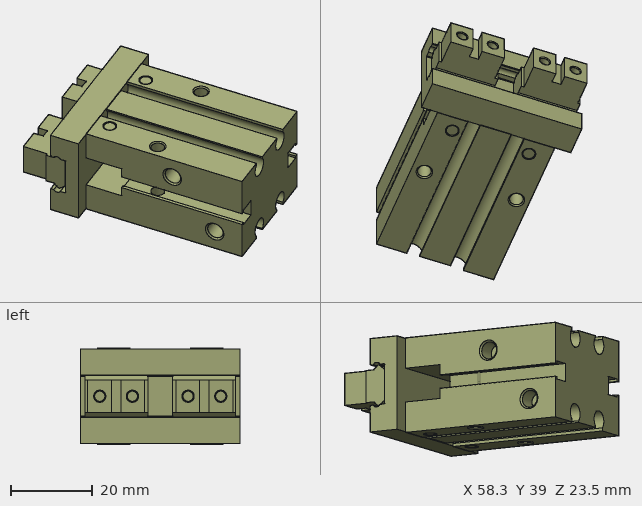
import cadquery as cq


total_length = 58.3

plate_front = 8.2
plate_back = 15.85
plate_width = 39.0
plate_height = 23.2

channel_half_height = 5.0
channel_back = 12.3
vee_center_x = 10.0
race_half_width = 0.9
race_depth = 0.5
channel_chamfer = 0.2

block_width = 30.6
block_height = 23.5
block_top = block_height / 2
block_side = block_width / 2

window_back = 25.55
window_height = 8.4

groove_y = 5.7
groove_mouth = 3.3
groove_radius = 2.35
groove_axis_depth = 2.4
land_drop = 0.35

slot_mouth = 3.3
slot_lip = 0.8
slot_undercut = 0.6
slot_depth = 4.95

mount_x = 33.75
mount_pitch = 24.0
mount_diameter = 3.4
mount_mouth = 4.0

pin_x = 19.7
pin_pitch = 20.0
pin_mouth = 3.4
pin_floor = 2.9
pin_recess_depth = 0.1

port_places = [(39.3, 6.55), (50.85, -6.55)]
port_mouth = 5.0
port_diameter = 4.2
port_depth = 5.0
orifice_diameter = 0.5
orifice_depth = 1.0

jaw_y = 10.8
jaw_width = 14.0
jaw_height = 8.0
jaw_back = 11.7
shoulder_x = 6.5
shoulder_inner_y = 3.05
shoulder_outer_y = 18.4
jaw_vee_half_base = 1.45
jaw_vee_half_tip = 0.2
jaw_vee_rise = 1.05
notch_width = 2.35
notch_depth = 2.55
jaw_hole_pitch = 8.0
jaw_hole_mouth = 3.0
jaw_hole_diameter = 2.5
jaw_hole_depth = 6.0


def box(x_start, x_end, y_start, y_end, z_start, z_end):
    """Axis-aligned box between two limits on each axis."""
    size = (x_end - x_start, y_end - y_start, z_end - z_start)
    return cq.Workplane("XY").box(*size, centered=False).translate((x_start, y_start, z_start))


def chamfered_hole(point, direction, mouth, diameter, depth):
    """Cutter for a round hole with a 45-degree chamfer at its mouth."""
    axis = cq.Vector(*direction)
    start = cq.Vector(*point)
    chamfer = (mouth - diameter) / 2
    bore = cq.Solid.makeCylinder(diameter / 2, depth, start, axis)
    cone = cq.Solid.makeCone(mouth / 2, diameter / 2, chamfer, start, axis)
    return cq.Workplane(bore).union(cq.Workplane(cone))


def guide_channel():
    """Channel across the plate: flared mouth, bevelled inner corners, arc race in both walls."""
    half = channel_half_height
    flared = half + channel_chamfer
    bevelled = half - channel_chamfer
    race_start = vee_center_x - race_half_width
    race_end = vee_center_x + race_half_width
    race_tip = half + race_depth
    profile = (
        cq.Workplane("XZ")
        .moveTo(plate_front, flared)
        .lineTo(plate_front + channel_chamfer, half)
        .lineTo(race_start, half)
        .threePointArc((vee_center_x, race_tip), (race_end, half))
        .lineTo(channel_back - channel_chamfer, half)
        .lineTo(channel_back, bevelled)
        .lineTo(channel_back, -bevelled)
        .lineTo(channel_back - channel_chamfer, -half)
        .lineTo(race_end, -half)
        .threePointArc((vee_center_x, -race_tip), (race_start, -half))
        .lineTo(plate_front + channel_chamfer, -half)
        .lineTo(plate_front, -flared)
        .close()
    )
    return profile.extrude(plate_width / 2, both=True)


def sensor_groove(y, side):
    """Round-bottomed groove with a narrower mouth, in the top (side=1) or bottom (side=-1)."""
    axis_z = block_top - groove_axis_depth
    mouth = box(plate_back, total_length, y - groove_mouth / 2, y + groove_mouth / 2, axis_z, block_top)
    bore = cq.Workplane("YZ", origin=(plate_back, y, axis_z)).circle(groove_radius)
    groove = mouth.union(bore.extrude(total_length - plate_back))
    return groove if side > 0 else groove.mirror("XY")


def land_relief(side):
    """Cut that sets the land between the grooves below the outer bands, top (side=1) or bottom (side=-1)."""
    relief = box(plate_back, total_length, -groove_y, groove_y, block_top - land_drop, block_top)
    return relief if side > 0 else relief.mirror("XY")


def side_slot(side):
    """T-slot along the +Y (side=1) or -Y (side=-1) face, open at the window and at the back."""
    mouth_half = slot_mouth / 2
    inner_half = mouth_half + slot_undercut
    lip_y = block_side - slot_lip
    floor_y = block_side - slot_depth
    mouth = box(plate_back, total_length, lip_y, block_side, -mouth_half, mouth_half)
    inner = box(plate_back, total_length, floor_y, lip_y, -inner_half, inner_half)
    slot = mouth.union(inner)
    return slot if side > 0 else slot.mirror("XZ")


def mount_hole(y, side):
    """Half of a vertical through hole, chamfered at the top (side=1) or bottom (side=-1) face."""
    start = (mount_x, y, side * block_top)
    return chamfered_hole(start, (0, 0, -side), mount_mouth, mount_diameter, block_top)


def pin_recess(y, side):
    """Shallow tapered recess in the top (side=1) or bottom (side=-1) face."""
    start = cq.Vector(pin_x, y, side * block_top)
    axis = cq.Vector(0, 0, -side)
    return cq.Workplane(cq.Solid.makeCone(pin_mouth / 2, pin_floor / 2, pin_recess_depth, start, axis))


def air_port(x, z):
    """Chamfered blind port in the -Y face, with a small orifice in its floor."""
    port = chamfered_hole((x, -block_side, z), (0, 1, 0), port_mouth, port_diameter, port_depth)
    floor = cq.Vector(x, port_depth - block_side, z)
    orifice = cq.Solid.makeCylinder(orifice_diameter / 2, orifice_depth, floor, cq.Vector(0, 1, 0))
    return port.union(cq.Workplane(orifice))


def make_housing():
    """Guide plate and main block as one solid, with all their cut-outs."""
    plate_y = plate_width / 2
    plate_z = plate_height / 2
    plate = box(plate_front, plate_back, -plate_y, plate_y, -plate_z, plate_z).cut(guide_channel())
    block = box(plate_back, total_length, -block_side, block_side, -block_top, block_top)

    window_z = window_height / 2
    block = block.cut(box(plate_back, window_back, -block_side, block_side, -window_z, window_z))

    for side in (1, -1):
        block = block.cut(side_slot(side))
        block = block.cut(land_relief(side))
        for half in (1, -1):
            block = block.cut(sensor_groove(half * groove_y, side))
            block = block.cut(mount_hole(half * mount_pitch / 2, side))
            block = block.cut(pin_recess(half * pin_pitch / 2, side))

    for x, z in port_places:
        block = block.cut(air_port(x, z))
    return plate.union(block).solids()


def make_jaw(side):
    """Jaw on the +Y (side=1) or -Y (side=-1) half of the guide channel."""
    jaw_z = jaw_height / 2
    jaw_inner_y = jaw_y - jaw_width / 2
    jaw_outer_y = jaw_y + jaw_width / 2
    finger = box(0, shoulder_x, jaw_inner_y, jaw_outer_y, -jaw_z, jaw_z)
    notch = box(0, notch_depth, jaw_y - notch_width / 2, jaw_y + notch_width / 2, -jaw_z, jaw_z)
    finger = finger.cut(notch)

    upper = [
        (shoulder_x, jaw_z),
        (vee_center_x - jaw_vee_half_base, jaw_z),
        (vee_center_x - jaw_vee_half_tip, jaw_z + jaw_vee_rise),
        (vee_center_x + jaw_vee_half_tip, jaw_z + jaw_vee_rise),
        (vee_center_x + jaw_vee_half_base, jaw_z),
        (jaw_back, jaw_z),
    ]
    lower = [(x, -z) for x, z in reversed(upper)]
    slide_profile = cq.Workplane("XZ", origin=(0, shoulder_inner_y, 0)).polyline(upper + lower).close()
    slide = slide_profile.extrude(shoulder_inner_y - shoulder_outer_y)

    jaw = finger.union(slide)
    for half in (1, -1):
        tip = (0, jaw_y + half * jaw_hole_pitch / 2, 0)
        jaw = jaw.cut(chamfered_hole(tip, (1, 0, 0), jaw_hole_mouth, jaw_hole_diameter, jaw_hole_depth))
    return (jaw if side > 0 else jaw.mirror("XZ")).solids()


housing = make_housing()
jaws = [make_jaw(side) for side in (1, -1)]

result = cq.Compound.makeCompound([housing.val(), *[jaw.val() for jaw in jaws]])